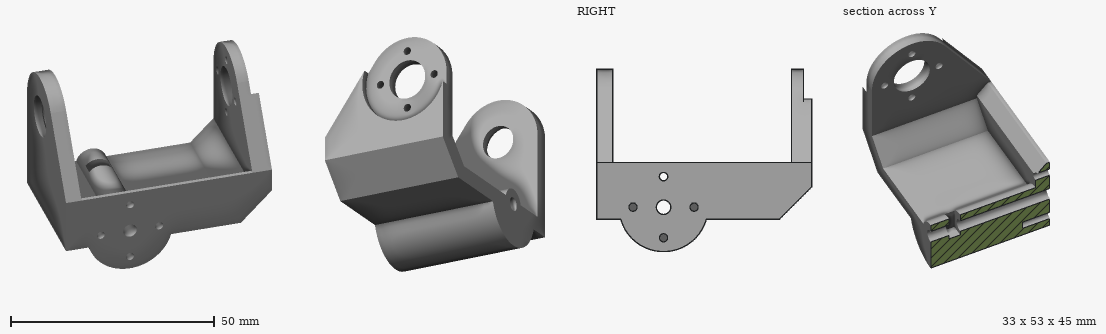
import cadquery as cq
import math

length_y = 53.0
width_x = 33.0
floor_thickness = 4.05

wall_thickness = 4.05
wall_height = 14.0
wall_chamfer = 3.0

front_arm_thickness = 4.0
rear_arm_thickness = 3.0
arm_radius = 11.0
arm_axis_x = arm_radius
arm_axis_z = 25.95

pad_thickness = 2.0
pad_clearance_radius = 11.5
rear_inner_y = length_y - pad_thickness - rear_arm_thickness

outer_corner = 8.0
inner_corner = 6.0

front_bore_diameter = 8.5
front_counterbore_diameter = 10.5
front_counterbore_depth = 2.0
rear_bore_diameter = 10.0

screw_diameter = 2.0
screw_circle_radius = 7.5
wall_screw_depth = 7.5

hinge_y = 16.5
hinge_z = 2.95
barrel_radius = 10.95
tube_radius = 4.0
hinge_bore_diameter = 3.5

nut_slot_x = 5.15
nut_slot_length = 3.0
nut_slot_width = 6.0
nut_slot_floor_z = 0.0


def cylinder_along_x(diameter, y, z, start_x, end_x):
    plane = cq.Workplane("YZ", origin=(start_x, y, z))
    return plane.circle(diameter / 2).extrude(end_x - start_x)


def cylinder_along_y(diameter, x, z, start_y, end_y):
    plane = cq.Workplane("XZ", origin=(x, start_y, z))
    return plane.circle(diameter / 2).extrude(start_y - end_y)


def screw_offsets():
    """Four positions, a quarter turn apart, on the screw circle."""
    angles = [math.radians(90 * i) for i in range(4)]
    return [(screw_circle_radius * math.cos(a), screw_circle_radius * math.sin(a)) for a in angles]


def arm(start_y, end_y):
    """Side plate: round top, straight edge at X = 0, flank tangent to the round down to the wall top."""
    run = width_x - arm_axis_x
    drop = arm_axis_z - wall_height
    tangent_angle = math.acos(arm_radius / math.hypot(run, drop)) - math.atan2(drop, run)
    tangent_point = (
        arm_axis_x + arm_radius * math.cos(tangent_angle),
        arm_axis_z + arm_radius * math.sin(tangent_angle),
    )
    return (
        cq.Workplane("XZ", origin=(0, start_y, 0))
        .moveTo(0, 0)
        .lineTo(0, arm_axis_z)
        .threePointArc((arm_axis_x, arm_axis_z + arm_radius), tangent_point)
        .lineTo(width_x, wall_height)
        .lineTo(width_x, 0)
        .close()
        .extrude(start_y - end_y)
    )


def rear_pad():
    """Outer layer of the rear arm with a round clearance about the pivot."""
    start_y = length_y - pad_thickness
    clearance = cylinder_along_y(2 * pad_clearance_radius, arm_axis_x, arm_axis_z, start_y, length_y)
    return arm(start_y, length_y).cut(clearance)


def floor():
    """Floor plate with the sloped fill at its rear inner corner."""
    points = [
        (0, 0),
        (length_y, 0),
        (length_y, floor_thickness + inner_corner),
        (rear_inner_y, floor_thickness + inner_corner),
        (rear_inner_y - inner_corner, floor_thickness),
        (0, floor_thickness),
    ]
    return cq.Workplane("YZ").polyline(points).close().extrude(width_x)


def end_wall():
    """Wall joining the arms at +X, chamfered along its inner top edge."""
    inner_x = width_x - wall_thickness
    points = [
        (inner_x, 0),
        (width_x, 0),
        (width_x, wall_height),
        (inner_x + wall_chamfer, wall_height),
        (inner_x, wall_height - wall_chamfer),
    ]
    return cq.Workplane("XZ").polyline(points).close().extrude(-length_y)


def hinge_barrel():
    """Lower part of the barrel, ending flush with the top of the floor."""
    barrel = cylinder_along_x(2 * barrel_radius, hinge_y, hinge_z, 0, width_x)
    above_floor = cq.Workplane("XY").box(
        width_x, 2 * barrel_radius, 2 * barrel_radius, centered=False
    ).translate((0, hinge_y - barrel_radius, floor_thickness))
    return barrel.cut(above_floor)


def outer_corner_cut():
    points = [(length_y, 0), (length_y, outer_corner), (length_y - outer_corner, 0)]
    return cq.Workplane("YZ").polyline(points).close().extrude(width_x)


def nut_slot():
    height = hinge_z + tube_radius - nut_slot_floor_z
    return cq.Workplane("XY").box(
        nut_slot_length, nut_slot_width, height, centered=(False, True, False)
    ).translate((nut_slot_x, hinge_y, nut_slot_floor_z))


body = floor().union(end_wall())
body = body.union(arm(0, front_arm_thickness))
body = body.union(arm(rear_inner_y, length_y - pad_thickness))
body = body.union(rear_pad())
body = body.cut(outer_corner_cut())
body = body.union(hinge_barrel())
body = body.union(cylinder_along_x(2 * tube_radius, hinge_y, hinge_z, 0, width_x))

body = body.cut(cylinder_along_y(front_bore_diameter, arm_axis_x, arm_axis_z, 0, front_arm_thickness))
body = body.cut(
    cylinder_along_y(front_counterbore_diameter, arm_axis_x, arm_axis_z, 0, front_counterbore_depth)
)
body = body.cut(cylinder_along_y(rear_bore_diameter, arm_axis_x, arm_axis_z, rear_inner_y, length_y))

body = body.cut(cylinder_along_x(hinge_bore_diameter, hinge_y, hinge_z, 0, width_x))
body = body.cut(nut_slot())

for across, up in screw_offsets():
    body = body.cut(
        cylinder_along_y(screw_diameter, arm_axis_x + across, arm_axis_z + up, rear_inner_y, length_y)
    )
    body = body.cut(
        cylinder_along_x(
            screw_diameter, hinge_y + across, hinge_z + up, width_x - wall_screw_depth, width_x
        )
    )

result = body